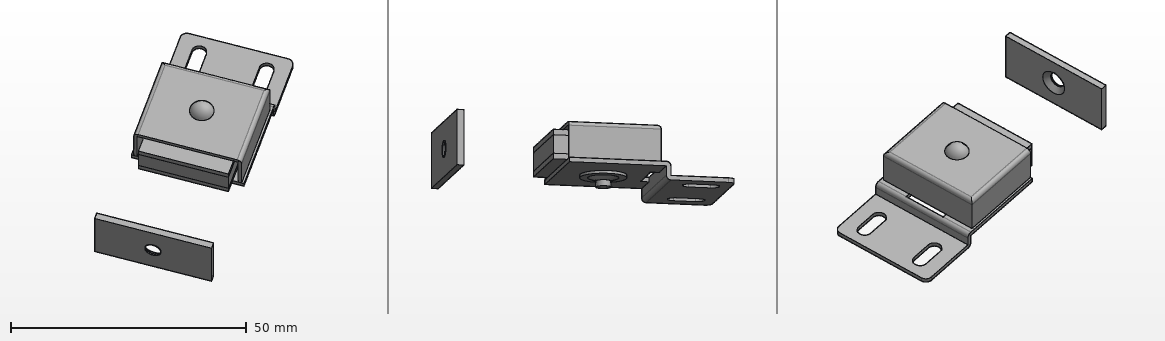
import cadquery as cq

SHEET = 1.0
BRACKET_WIDTH = 25.0
BRACKET_LENGTH = 36.0
STEP_DROP = 3.0
STEP_FRONT_Y = 21.0
STEP_BACK_Y = STEP_FRONT_Y + SHEET
BEND_RADIUS = SHEET
FLANGE_CORNER_RADIUS = 1.5
SLOT_LENGTH = 8.0
SLOT_WIDTH = 3.2
SLOT_SPACING = 15.0
SLOT_CENTER_Y = 29.6
WINDOW_WIDTH = 10.0

COVER_WIDTH = 24.0
COVER_DEPTH = 20.0
COVER_HEIGHT = 8.0
COVER_WALL = 0.8
COVER_EDGE_RADIUS = 1.0

STACK_WIDTH = 20.0
STACK_OVERHANG = 3.0
STACK_BACK_Y = COVER_DEPTH - COVER_WALL
POLE_THICKNESS = 1.2
MAGNET_THICKNESS = 4.0
STACK_HEIGHT = MAGNET_THICKNESS + 2 * POLE_THICKNESS

RIVET_Y = COVER_DEPTH / 2
RIVET_DIAMETER = 3.2
RIVET_END_Z = -3.6
HEAD_DIAMETER = 5.2
HEAD_HEIGHT = 1.8
WASHER_DIAMETER = 10.0
WASHER_THICKNESS = 0.6
CROWN_DIAMETER = 6.6
CROWN_HEIGHT = 0.7

STRIKE_WIDTH = 26.0
STRIKE_HEIGHT = 12.0
STRIKE_THICKNESS = 1.5
STRIKE_BACK_Y = -23.0
STRIKE_FRONT_Y = STRIKE_BACK_Y - STRIKE_THICKNESS
STRIKE_HOLE_DIAMETER = 3.5
STRIKE_HOLE_LAND = 0.4
RIM_DIAMETER = 3.6
RIM_HEIGHT = 0.1


def block(width, front_y, back_y, bottom_z, top_z):
    """Box centred on X = 0 between the given Y and Z limits."""
    return (
        cq.Workplane("XY", origin=(0, (front_y + back_y) / 2, bottom_z))
        .box(width, back_y - front_y, top_z - bottom_z, centered=(True, True, False))
    )


def drill_for_rivet(body):
    """Cut the rivet's shank hole through a body."""
    reach = 2 * COVER_HEIGHT
    drill = cq.Workplane("XY", origin=(0, RIVET_Y, 0)).circle(RIVET_DIAMETER / 2).extrude(reach, both=True)
    return body.cut(drill)


def make_bracket():
    """Z-bent sheet with a slotted rear flange and a window beside the step."""
    flange_top_z = -STEP_DROP
    flange_bottom_z = flange_top_z - SHEET
    bracket = (
        cq.Workplane("YZ", origin=(-BRACKET_WIDTH / 2, 0, 0))
        .moveTo(0, 0)
        .lineTo(STEP_BACK_Y - BEND_RADIUS, 0)
        .radiusArc((STEP_BACK_Y, -BEND_RADIUS), BEND_RADIUS)
        .lineTo(STEP_BACK_Y, flange_top_z)
        .lineTo(BRACKET_LENGTH, flange_top_z)
        .lineTo(BRACKET_LENGTH, flange_bottom_z)
        .lineTo(STEP_FRONT_Y + BEND_RADIUS, flange_bottom_z)
        .radiusArc((STEP_FRONT_Y, flange_bottom_z + BEND_RADIUS), BEND_RADIUS)
        .lineTo(STEP_FRONT_Y, -SHEET)
        .lineTo(0, -SHEET)
        .close()
        .extrude(BRACKET_WIDTH)
    )
    bracket = bracket.edges("|Z and >Y").fillet(FLANGE_CORNER_RADIUS)
    slots = (
        cq.Workplane("XY", origin=(0, SLOT_CENTER_Y, flange_bottom_z))
        .pushPoints([(side * SLOT_SPACING / 2, 0) for side in (-1, 1)])
        .slot2D(SLOT_LENGTH, SLOT_WIDTH, 90)
        .extrude(SHEET)
    )
    window = block(WINDOW_WIDTH, COVER_DEPTH - COVER_WALL, STEP_FRONT_Y, -SHEET, 0)
    return drill_for_rivet(bracket.cut(slots).cut(window))


def make_cover():
    """Thin box over the magnet stack, rounded along its side and rear top edges."""
    cover = block(COVER_WIDTH, 0, COVER_DEPTH, 0, COVER_HEIGHT)
    cover = cover.faces(">Z").edges("|Y or >Y").fillet(COVER_EDGE_RADIUS)
    inside = block(
        COVER_WIDTH - 2 * COVER_WALL, 0, COVER_DEPTH - COVER_WALL, 0, COVER_HEIGHT - COVER_WALL
    )
    return drill_for_rivet(cover.cut(inside))


def make_stack_layer(bottom_z, thickness):
    """One flat layer of the magnet stack."""
    layer = block(STACK_WIDTH, -STACK_OVERHANG, STACK_BACK_Y, bottom_z, bottom_z + thickness)
    return drill_for_rivet(layer)


def make_rivet():
    """Domed head on the cover with a plain shank down through the washer."""
    head_top_z = COVER_HEIGHT + HEAD_HEIGHT
    head_radius = HEAD_DIAMETER / 2
    dome_radius = (head_radius**2 + HEAD_HEIGHT**2) / (2 * HEAD_HEIGHT)
    profile = (
        cq.Workplane("XZ", origin=(0, RIVET_Y, 0))
        .moveTo(0, head_top_z)
        .radiusArc((head_radius, COVER_HEIGHT), dome_radius)
        .lineTo(RIVET_DIAMETER / 2, COVER_HEIGHT)
        .lineTo(RIVET_DIAMETER / 2, RIVET_END_Z)
        .lineTo(0, RIVET_END_Z)
        .close()
    )
    return profile.revolve(360, (0, 0, 0), (0, 1, 0))


def make_washer():
    """Flat washer under the bracket with a crown tapering onto the rivet shank."""
    flat_z = -SHEET - WASHER_THICKNESS
    profile = (
        cq.Workplane("XZ", origin=(0, RIVET_Y, 0))
        .moveTo(RIVET_DIAMETER / 2, -SHEET)
        .lineTo(WASHER_DIAMETER / 2, -SHEET)
        .lineTo(WASHER_DIAMETER / 2, flat_z)
        .lineTo(CROWN_DIAMETER / 2, flat_z)
        .lineTo(RIVET_DIAMETER / 2, flat_z - CROWN_HEIGHT)
        .close()
    )
    return profile.revolve(360, (0, 0, 0), (0, 1, 0))


def make_strike_plate():
    """Upright plate facing the magnet stack, its hole rimmed in front and countersunk from the back."""
    center_z = STACK_HEIGHT / 2
    bottom_z = center_z - STRIKE_HEIGHT / 2
    plate = block(STRIKE_WIDTH, STRIKE_FRONT_Y, STRIKE_BACK_Y, bottom_z, bottom_z + STRIKE_HEIGHT)
    rim_front_y = STRIKE_FRONT_Y - RIM_HEIGHT
    countersink_depth = STRIKE_THICKNESS + RIM_HEIGHT - STRIKE_HOLE_LAND
    hole_radius = STRIKE_HOLE_DIAMETER / 2
    rim = (
        cq.Workplane("XZ", origin=(0, STRIKE_BACK_Y, center_z))
        .circle(RIM_DIAMETER / 2)
        .extrude(STRIKE_THICKNESS + RIM_HEIGHT)
    )
    hole_profile = (
        cq.Workplane("XY", origin=(0, 0, center_z))
        .moveTo(0, rim_front_y)
        .lineTo(hole_radius, rim_front_y)
        .lineTo(hole_radius, rim_front_y + STRIKE_HOLE_LAND)
        .lineTo(hole_radius + countersink_depth, STRIKE_BACK_Y)
        .lineTo(0, STRIKE_BACK_Y)
        .close()
    )
    hole = hole_profile.revolve(360, (0, 0, 0), (0, 1, 0))
    return plate.union(rim).cut(hole)


bracket = make_bracket()
cover = make_cover()
lower_pole = make_stack_layer(0, POLE_THICKNESS)
magnet = make_stack_layer(POLE_THICKNESS, MAGNET_THICKNESS)
upper_pole = make_stack_layer(POLE_THICKNESS + MAGNET_THICKNESS, POLE_THICKNESS)
rivet = make_rivet()
washer = make_washer()
strike_plate = make_strike_plate()

bodies = [bracket, cover, lower_pole, magnet, upper_pole, rivet, washer, strike_plate]
result = cq.Compound.makeCompound([body.val() for body in bodies])